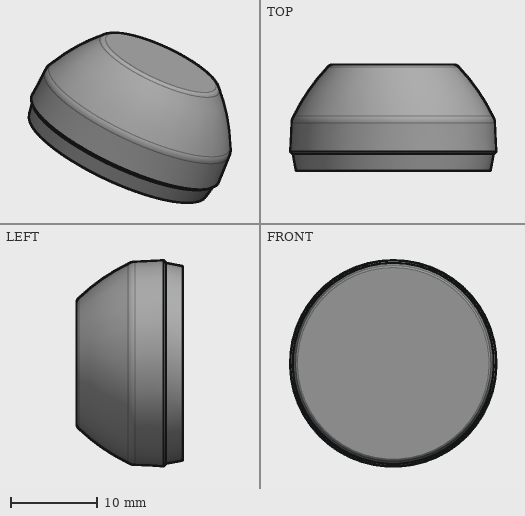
import cadquery as cq

OVERALL_DEPTH = 12.4
CENTRE_DEPTH = OVERALL_DEPTH / 2

FRONT_EDGE_MID_DEPTH = 0.07
FRONT_EDGE_DEPTH = 0.2
FRONT_FACE_RADIUS = 11.12
FRONT_EDGE_MID_RADIUS = 11.27
FRONT_EDGE_RADIUS = 11.34
JOINT_DEPTH = 1.97
JOINT_RADIUS = 11.67

BAND_START_DEPTH = 2.28
BAND_START_RADIUS = 11.98
BAND_END_DEPTH = 5.59
BAND_END_RADIUS = 11.82
SHOULDER_MID_DEPTH = 6.05
SHOULDER_MID_RADIUS = 11.75
SHOULDER_END_DEPTH = 6.38
SHOULDER_END_RADIUS = 11.58
FLANK_MID_DEPTH = 9.45
FLANK_MID_RADIUS = 9.78
FLANK_END_DEPTH = 12.08
FLANK_END_RADIUS = 7.62
BACK_MID_DEPTH = 12.32
BACK_MID_RADIUS = 7.33
BACK_FACE_RADIUS = 7.02


def at(radius, depth):
    """Profile point at a radius from the axis and a depth behind the front face."""
    return (depth - CENTRE_DEPTH, radius)


def revolve_about_y(profile):
    """Turn a profile drawn in the YZ plane, whose first local axis is Y, into a solid."""
    return profile.close().revolve(360, (0, 0, 0), (1, 0, 0))


def make_front_disc():
    profile = (
        cq.Workplane("YZ")
        .moveTo(*at(0, 0))
        .lineTo(*at(FRONT_FACE_RADIUS, 0))
        .threePointArc(
            at(FRONT_EDGE_MID_RADIUS, FRONT_EDGE_MID_DEPTH),
            at(FRONT_EDGE_RADIUS, FRONT_EDGE_DEPTH),
        )
        .lineTo(*at(JOINT_RADIUS, JOINT_DEPTH))
        .lineTo(*at(0, JOINT_DEPTH))
    )
    return revolve_about_y(profile)


def make_housing():
    profile = (
        cq.Workplane("YZ")
        .moveTo(*at(0, JOINT_DEPTH))
        .lineTo(*at(JOINT_RADIUS, JOINT_DEPTH))
        .lineTo(*at(BAND_START_RADIUS, BAND_START_DEPTH))
        .lineTo(*at(BAND_END_RADIUS, BAND_END_DEPTH))
        .threePointArc(
            at(SHOULDER_MID_RADIUS, SHOULDER_MID_DEPTH),
            at(SHOULDER_END_RADIUS, SHOULDER_END_DEPTH),
        )
        .threePointArc(
            at(FLANK_MID_RADIUS, FLANK_MID_DEPTH),
            at(FLANK_END_RADIUS, FLANK_END_DEPTH),
        )
        .threePointArc(
            at(BACK_MID_RADIUS, BACK_MID_DEPTH),
            at(BACK_FACE_RADIUS, OVERALL_DEPTH),
        )
        .lineTo(*at(0, OVERALL_DEPTH))
    )
    return revolve_about_y(profile)


front_disc = make_front_disc()
housing = make_housing()
result = cq.Compound.makeCompound([front_disc.val(), housing.val()])